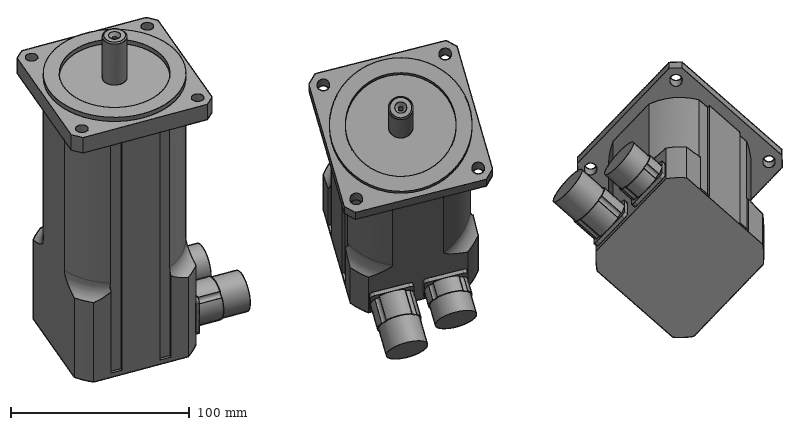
import cadquery as cq
import math

total_height = 211.0
flange_bottom = 170.0
flange_thickness = 11.0
pilot_height = 3.0
flange_top = flange_bottom + flange_thickness
pilot_top = flange_top + pilot_height

flange_width = 86.0
flange_corner_chamfer = 5.0
mount_hole_diameter = 7.0
mount_hole_spacing = 70.7
pilot_diameter = 80.0
recess_diameter = 62.0
recess_floor = flange_top

shaft_diameter = 14.0
shaft_chamfer = 0.8
centre_hole_diameter = 2.7
centre_hole_depth = 8.5
countersink_diameter = 6.8
countersink_angle = 90.0

housing_width = 74.3
lower_corner_radius = 47.0
upper_corner_radius = pilot_diameter / 2
relief_start = 66.0
relief_fillet = 10.0

groove_width = 6.5
groove_offset = 15.0
groove_depth = 1.5
groove_bottom = 3.2

overall_depth = 114.0
connector_height = 18.4
connector_offset = 15.6
base_width = 25.3
base_corner_radius = 2.5
base_thickness = 2.3
collar_diameter = 25.3
plug_diameter = 24.0
housing_back = housing_width / 2
short_collar_end = 48.5
short_plug_end = 60.5
tall_collar_end = 54.5
tall_plug_end = overall_depth - flange_width / 2

notch_radius = 2.1
notch_centre_radius = 13.5
notch_count = 4
notch_start_angle = 45


def cylinder(diameter, bottom, top):
    return cq.Workplane("XY").workplane(offset=bottom).circle(diameter / 2).extrude(top - bottom)


def corner_turning():
    """Revolved envelope that rounds the housing corners and sweeps out into the lower part."""
    fillet_centre_radius = upper_corner_radius + relief_fillet
    radial_reach = fillet_centre_radius - lower_corner_radius
    relief_end = relief_start - math.sqrt(relief_fillet**2 - radial_reach**2)
    half_sweep = math.acos(radial_reach / relief_fillet) / 2
    arc_middle = (
        fillet_centre_radius - relief_fillet * math.cos(half_sweep),
        relief_start - relief_fillet * math.sin(half_sweep),
    )
    return (
        cq.Workplane("XZ")
        .moveTo(0, 0)
        .lineTo(lower_corner_radius, 0)
        .lineTo(lower_corner_radius, relief_end)
        .threePointArc(arc_middle, (upper_corner_radius, relief_start))
        .lineTo(upper_corner_radius, flange_bottom)
        .lineTo(0, flange_bottom)
        .close()
        .revolve(360, (0, 0, 0), (0, 1, 0))
    )


def side_grooves():
    length = flange_bottom - groove_bottom
    centres = [
        (x, y)
        for x in (-housing_width / 2, housing_width / 2)
        for y in (-groove_offset, groove_offset)
    ]
    return (
        cq.Workplane("XY")
        .workplane(offset=groove_bottom)
        .pushPoints(centres)
        .rect(2 * groove_depth, groove_width)
        .extrude(length)
    )


def make_housing():
    bar = cq.Workplane("XY").rect(housing_width, housing_width).extrude(flange_bottom)
    return bar.intersect(corner_turning()).cut(side_grooves())


def make_flange():
    plate = (
        cq.Workplane("XY")
        .workplane(offset=flange_bottom)
        .rect(flange_width, flange_width)
        .extrude(flange_thickness)
        .edges("|Z")
        .chamfer(flange_corner_chamfer)
        .faces(">Z")
        .workplane()
        .rect(mount_hole_spacing, mount_hole_spacing, forConstruction=True)
        .vertices()
        .hole(mount_hole_diameter)
    )
    pilot = cylinder(pilot_diameter, flange_top, pilot_top)
    recess = cylinder(recess_diameter, recess_floor, pilot_top)
    return plate.union(pilot).cut(recess)


def make_shaft():
    return (
        cylinder(shaft_diameter, recess_floor, total_height)
        .faces(">Z")
        .chamfer(shaft_chamfer)
        .faces(">Z")
        .workplane()
        .cskHole(centre_hole_diameter, countersink_diameter, countersink_angle, centre_hole_depth)
    )


def make_motor():
    """Housing, flange and shaft as one solid."""
    return make_housing().union(make_flange()).union(make_shaft())


def make_connector(x, collar_end, plug_end):
    """Square base, notched collar and round plug, one after the other along +Y."""
    collar_start = housing_back + base_thickness
    base = (
        cq.Workplane("XZ", origin=(x, housing_back, connector_height))
        .rect(base_width, base_width)
        .extrude(-base_thickness)
        .edges("|Y")
        .fillet(base_corner_radius)
    )
    collar_plane = cq.Workplane("XZ", origin=(x, collar_start, connector_height))
    collar_length = collar_end - collar_start
    collar = collar_plane.circle(collar_diameter / 2).extrude(-collar_length)
    notches = (
        collar_plane.polarArray(notch_centre_radius, notch_start_angle, 360, notch_count)
        .circle(notch_radius)
        .extrude(-collar_length)
    )
    plug = (
        cq.Workplane("XZ", origin=(x, collar_end, connector_height))
        .circle(plug_diameter / 2)
        .extrude(collar_end - plug_end)
    )
    return base.union(collar.cut(notches)).union(plug)


motor = make_motor()
connectors = [
    make_connector(x, collar_end, plug_end)
    for x, collar_end, plug_end in (
        (-connector_offset, short_collar_end, short_plug_end),
        (connector_offset, tall_collar_end, tall_plug_end),
    )
]

result = cq.Compound.makeCompound([motor.val(), *[connector.val() for connector in connectors]])